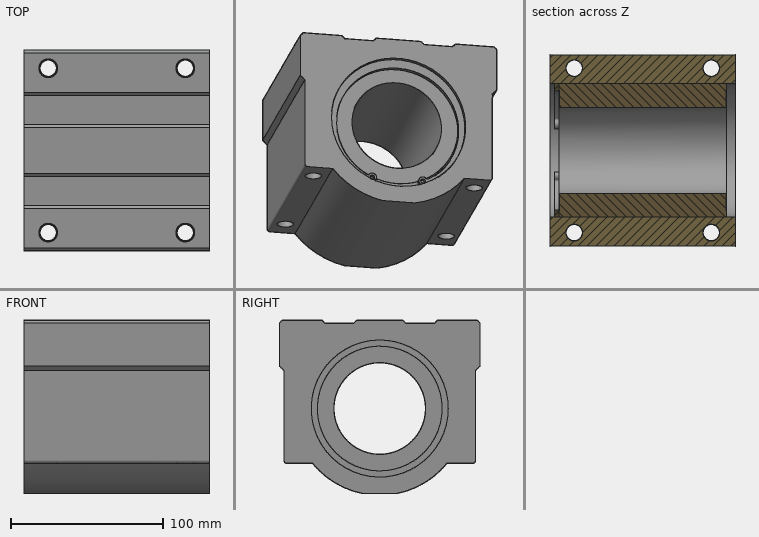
import cadquery as cq
import math

length = 122.0
width = 132.0
axis_to_top = 58.1
axis_to_bottom = 56.0

flange_side_height = 30.1
flange_step = 3.0
flange_edge_chamfer = 2.0
body_width = width - 2 * flange_step
axis_to_body_bottom = 36.0
body_edge_radius = 2.0
barrel_radius = 57.0

groove_inner_y = 15.0
groove_outer_y = 38.0
groove_depth = 2.0

hole_diameter = 10.7
hole_spacing_x = 90.0
hole_spacing_y = 108.0
hole_chamfer = 0.8
hole_chamfer_angle = 90

bearing_diameter = 90.0
bearing_bore = 60.0
bearing_end_inset = 6.0
bearing_length = length - 2 * bearing_end_inset
seal_diameter = 82.0
seal_recess = 0.1

ring_thickness = 3.0
ring_inner_diameter = 82.0
ring_offset = 1.8
lug_radius = 2.9
lug_fillet = 1.3
lug_hole_diameter = 3.0
lug_center_radius = 42.5
lug_angle = 23.6


def x_cylinder(diameter, x_start, x_length, y=0.0, z=0.0):
    """Solid cylinder along +X, starting at x_start."""
    return (
        cq.Workplane("YZ", origin=(x_start, 0, 0))
        .center(y, z)
        .circle(diameter / 2)
        .extrude(x_length)
    )


def x_prism(points, x_start, x_length):
    """Straight-sided outline in Y and Z, extruded along +X."""
    return cq.Workplane("YZ", origin=(x_start, 0, 0)).polyline(points).close().extrude(x_length)


def housing_block():
    """Flanged block with a rounded barrel that has a flat underside."""
    half_flange = width / 2
    half_body = body_width / 2
    flange_bottom = axis_to_top - flange_side_height
    half_outline = [
        (half_body, -axis_to_body_bottom),
        (half_body, flange_bottom - flange_step),
        (half_flange, flange_bottom),
        (half_flange, axis_to_top - flange_edge_chamfer),
        (half_flange - flange_edge_chamfer, axis_to_top),
    ]
    mirrored = [(-y, z) for y, z in reversed(half_outline)]
    block = x_prism(half_outline + mirrored, -length / 2, length)
    block = block.faces("<Z").edges("|X").fillet(body_edge_radius)

    barrel = x_cylinder(2 * barrel_radius, -length / 2, length)
    barrel_zone = cq.Workplane("XY", origin=(0, 0, -axis_to_bottom)).box(
        length, 2 * barrel_radius, axis_to_bottom, centered=(True, True, False)
    )
    return block.union(barrel.intersect(barrel_zone))


def top_groove(side):
    """Cutter for one shallow groove with 45-degree walls; side is +1 or -1."""
    outline = [
        (side * groove_inner_y, axis_to_top),
        (side * (groove_inner_y + groove_depth), axis_to_top - groove_depth),
        (side * (groove_outer_y - groove_depth), axis_to_top - groove_depth),
        (side * groove_outer_y, axis_to_top),
    ]
    return x_prism(outline, -length / 2, length)


def make_housing():
    body = housing_block()
    for side in (-1, 1):
        body = body.cut(top_groove(side))
    body = (
        body.faces(">Z")
        .workplane(origin=(0, 0, axis_to_top))
        .rarray(hole_spacing_x, hole_spacing_y, 2, 2)
        .cskHole(hole_diameter, hole_diameter + 2 * hole_chamfer, hole_chamfer_angle)
    )
    return body.cut(x_cylinder(bearing_diameter, -length / 2, length))


def make_bearing():
    """Sleeve centred in the housing, with a shallow seal recess in each end."""
    start = -bearing_length / 2
    sleeve = x_cylinder(bearing_diameter, start, bearing_length)
    for recess_start in (start, -start - seal_recess):
        sleeve = sleeve.cut(x_cylinder(seal_diameter, recess_start, seal_recess))
    return sleeve.cut(x_cylinder(bearing_bore, start, bearing_length))


def make_retaining_ring():
    """Open ring, thickest at the top, ending in two lugs with plier holes."""
    start = -bearing_length / 2 - ring_thickness
    angle = math.radians(lug_angle)
    lug_y = lug_center_radius * math.sin(angle)
    lug_z = -lug_center_radius * math.cos(angle)

    envelope = x_cylinder(bearing_diameter, start, ring_thickness)
    gap_z = -bearing_diameter
    gap_y = bearing_diameter * math.tan(angle)
    gap = x_prism([(0, 0), (gap_y, gap_z), (-gap_y, gap_z)], start, ring_thickness)
    inside = x_cylinder(ring_inner_diameter, start, ring_thickness, z=-ring_offset)
    ring = envelope.cut(inside).cut(gap)

    for side in (-1, 1):
        lug = x_cylinder(2 * lug_radius, start, ring_thickness, side * lug_y, lug_z)
        ring = ring.union(lug.intersect(envelope))

    def is_lug_corner(edge):
        center = edge.Center()
        off_outer_edge = math.hypot(center.y, center.z) < lug_center_radius + lug_radius / 2
        return abs(center.y) > lug_y and off_outer_edge

    ring = ring.edges("|X").filter(is_lug_corner).fillet(lug_fillet)

    for side in (-1, 1):
        ring = ring.cut(x_cylinder(lug_hole_diameter, start, ring_thickness, side * lug_y, lug_z))
    return ring


housing = make_housing()
bearing = make_bearing()
retaining_ring = make_retaining_ring()

result = cq.Compound.makeCompound([housing.val(), bearing.val(), retaining_ring.val()])